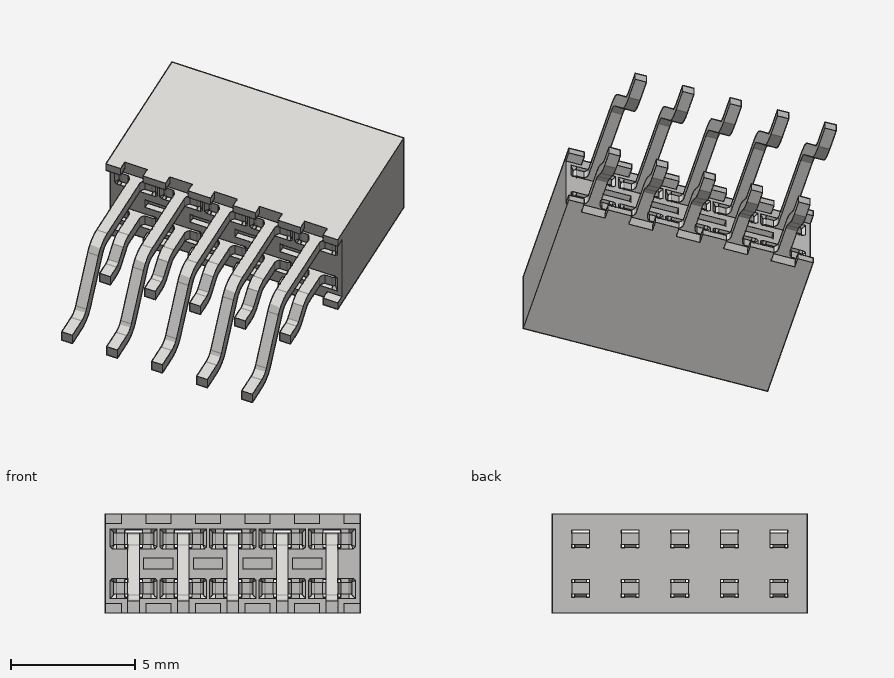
import cadquery as cq
import math


WIDTH = 10.3
HEIGHT = 4.0
TOTAL_LENGTH = 12.6
BODY_DEPTH = 5.96
COLUMNS = 5
PITCH = HEIGHT / 2
LOWER_ROW_Z = PITCH / 2
UPPER_ROW_Z = LOWER_ROW_Z + PITCH
COLUMN_XS = [(i - (COLUMNS - 1) / 2) * PITCH for i in range(COLUMNS)]
ROW_ZS = [LOWER_ROW_Z, UPPER_ROW_Z]

TAB_LENGTH = 0.4
TAB_THICKNESS = 0.38
TAB_GAP = PITCH / 2

POCKET_WIDTH = 1.89
POCKET_HEIGHT = 0.81
POCKET_DEPTH = 0.25
MOUTH_TAPER_ANGLE = 45
POCKET_CENTRE_WIDTH = POCKET_WIDTH - 2 * POCKET_DEPTH * math.tan(math.radians(MOUTH_TAPER_ANGLE))
POCKET_CORNER = 0.09
PASSAGE = 0.7

SLOT_WIDTH = 1.18
SLOT_HEIGHT = 0.43
SLOT_DEPTH = 0.25

LEAD = 0.48
PLATE_END_RADIUS = 0.13
PLATE_WIDTH = POCKET_CENTRE_WIDTH + 2 * PLATE_END_RADIUS
PLATE_RECESS = 0.05
FLARE_WIDTH = 0.14
FLARE_LENGTH = 0.19
LONG_LEAD_TIP = TOTAL_LENGTH - BODY_DEPTH
LONG_LEAD_STRAIGHT = 3.28
LONG_LEAD_ANGLE = 60
LONG_LEAD_RADIUS = 0.75
SHORT_LEAD_TIP = 2.99
SHORT_LEAD_STRAIGHT = 1.21
SHORT_LEAD_ANGLE = 45
SHORT_LEAD_RADIUS = 0.5


def block(width, y_from, y_to, height, x, z):
    """Box centred on x and z, spanning y_from to y_to."""
    return (
        cq.Workplane("XY")
        .box(width, y_to - y_from, height)
        .translate((x, (y_from + y_to) / 2, z))
    )


def make_housing():
    """Plain block with the interrupted stand-off tabs on its terminal face."""
    housing = block(WIDTH, -TAB_LENGTH, BODY_DEPTH, HEIGHT, 0, HEIGHT / 2)
    housing = housing.cut(
        block(WIDTH, -TAB_LENGTH, 0, HEIGHT - 2 * TAB_THICKNESS, 0, HEIGHT / 2)
    )
    for x in COLUMN_XS:
        housing = housing.cut(block(TAB_GAP, -TAB_LENGTH, 0, HEIGHT, x, HEIGHT / 2))
    return housing


def make_pocket(x, z):
    """Straight central pocket with a tapered mouth around it and a passage behind it.

    The mouth is bevelled on its two corners nearest the other row.
    """
    left, right = x - POCKET_WIDTH / 2, x + POCKET_WIDTH / 2
    toward_middle = 1 if z < HEIGHT / 2 else -1
    outer_z = z - toward_middle * POCKET_HEIGHT / 2
    inner_z = z + toward_middle * POCKET_HEIGHT / 2
    bevel_z = inner_z - toward_middle * POCKET_CORNER
    mouth = (
        cq.Workplane("XZ")
        .polyline([
            (left, outer_z),
            (right, outer_z),
            (right, bevel_z),
            (right - POCKET_CORNER, inner_z),
            (left + POCKET_CORNER, inner_z),
            (left, bevel_z),
        ])
        .close()
        .extrude(-POCKET_DEPTH, taper=MOUTH_TAPER_ANGLE)
    )
    centre = block(POCKET_CENTRE_WIDTH, 0, POCKET_DEPTH, POCKET_HEIGHT, x, z)
    passage = block(PASSAGE, 0, BODY_DEPTH, PASSAGE, x, z)
    return mouth.union(centre).union(passage)


def make_contact_root(x, z):
    """Round-ended plate seated in the pocket, with concave flares leading to the lead."""
    plate = block(PLATE_WIDTH, PLATE_RECESS, POCKET_DEPTH + PLATE_RECESS, LEAD, x, z)
    plate = plate.faces("<Y").edges("|Z").fillet(PLATE_END_RADIUS)
    flare_depth = FLARE_LENGTH + PLATE_RECESS
    radius = (flare_depth**2 + FLARE_WIDTH**2) / (2 * FLARE_WIDTH)
    half_angle = math.asin(flare_depth / radius) / 2
    mid_x = LEAD / 2 + radius * (1 - math.cos(half_angle))
    mid_y = -FLARE_LENGTH + radius * math.sin(half_angle)
    end_x = LEAD / 2 + FLARE_WIDTH
    flare = (
        cq.Workplane("XY", origin=(x, 0, z - LEAD / 2))
        .moveTo(-LEAD / 2, -FLARE_LENGTH)
        .lineTo(LEAD / 2, -FLARE_LENGTH)
        .threePointArc((mid_x, mid_y), (end_x, PLATE_RECESS))
        .lineTo(-end_x, PLATE_RECESS)
        .threePointArc((-mid_x, mid_y), (-LEAD / 2, -FLARE_LENGTH))
        .close()
        .extrude(LEAD)
    )
    return plate.union(flare)


def make_lead(x, z, straight, tip, angle, radius):
    """Square lead: straight out, bent down, and bent level again to rest on the board."""
    slope = math.radians(angle)
    bend_run = radius * math.sin(slope)
    bend_drop = radius * (1 - math.cos(slope))
    half_bend_run = radius * math.sin(slope / 2)
    half_bend_drop = radius * (1 - math.cos(slope / 2))
    foot_z = LEAD / 2
    ramp_run = (z - foot_z - 2 * bend_drop) / math.tan(slope)
    foot_y = -(straight + 2 * bend_run + ramp_run)
    path = (
        cq.Workplane("YZ", origin=(x, 0, 0))
        .moveTo(PLATE_RECESS, z)
        .lineTo(-straight, z)
        .threePointArc(
            (-straight - half_bend_run, z - half_bend_drop),
            (-straight - bend_run, z - bend_drop),
        )
        .lineTo(foot_y + bend_run, foot_z + bend_drop)
        .threePointArc((foot_y + half_bend_run, foot_z + half_bend_drop), (foot_y, foot_z))
        .lineTo(-tip, foot_z)
    )
    return cq.Workplane("XZ", origin=(x, PLATE_RECESS, z)).rect(LEAD, LEAD).sweep(path)


connector = make_housing()

for left_x, right_x in zip(COLUMN_XS, COLUMN_XS[1:]):
    slot_x = (left_x + right_x) / 2
    connector = connector.cut(block(SLOT_WIDTH, 0, SLOT_DEPTH, SLOT_HEIGHT, slot_x, HEIGHT / 2))

for x in COLUMN_XS:
    for z in ROW_ZS:
        connector = connector.cut(make_pocket(x, z)).union(make_contact_root(x, z))
    long_lead = make_lead(
        x, UPPER_ROW_Z, LONG_LEAD_STRAIGHT, LONG_LEAD_TIP, LONG_LEAD_ANGLE, LONG_LEAD_RADIUS
    )
    short_lead = make_lead(
        x, LOWER_ROW_Z, SHORT_LEAD_STRAIGHT, SHORT_LEAD_TIP, SHORT_LEAD_ANGLE, SHORT_LEAD_RADIUS
    )
    connector = connector.union(long_lead).union(short_lead)

result = cq.Workplane(connector.solids().val())